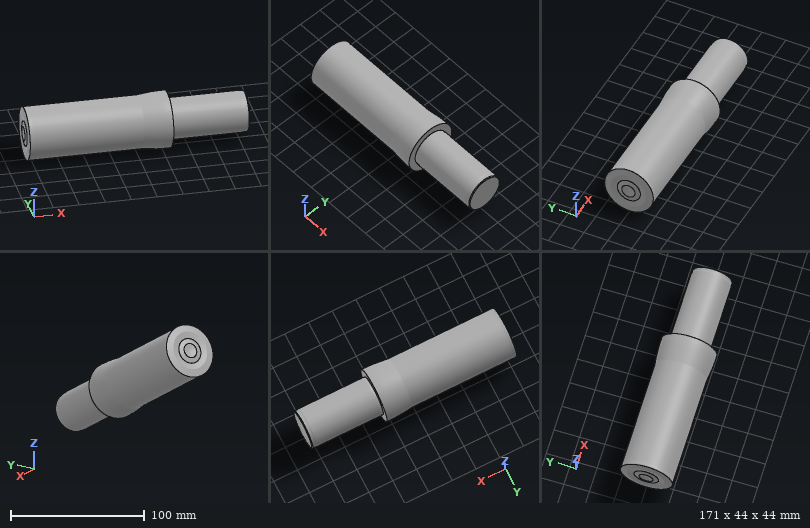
import cadquery as cq
import math

total_length = 171.0
flare_start = 89.1
collar_start = 106.2
sleeve_end = 111.0

sleeve_diameter = 41.0
collar_diameter = 44.0

rim_diameter = 41.0
rim_x = 0.9
lip_diameter = 41.4
lip_x = 1.7
lip_end = 3.8

outer_crest_diameter = 29.5
valley_diameter = 19.3
inner_crest_diameter = 11.1
ring_depth = 0.9

stem_diameter = 32.0
neck_diameter = 31.5
neck_length = 0.9
shoulder_length = 1.0
tip_length = 4.1
end_chamfer = 0.7


def revolve_about_x(profile):
    """Turn a half profile, drawn as (x, radius), into a solid of revolution."""
    return profile.close().revolve(360, (0, 0, 0), (1, 0, 0))


def make_sleeve():
    """Solid cylinder with a ringed front face and a flared collar at the rear."""
    flare_length = collar_start - flare_start
    flare_rise = (collar_diameter - sleeve_diameter) / 2
    flare_radius = (flare_length**2 + flare_rise**2) / (2 * flare_rise)
    flare_middle = flare_start + flare_length / 2
    middle_drop = flare_radius - math.sqrt(flare_radius**2 - (flare_length / 2) ** 2)
    flare_middle_radius = collar_diameter / 2 - middle_drop

    profile = (
        cq.Workplane("XY")
        .moveTo(ring_depth, 0)
        .lineTo(0, inner_crest_diameter / 2)
        .lineTo(ring_depth, valley_diameter / 2)
        .lineTo(0, outer_crest_diameter / 2)
        .lineTo(rim_x, rim_diameter / 2)
        .lineTo(lip_x, lip_diameter / 2)
        .lineTo(lip_end, sleeve_diameter / 2)
        .lineTo(flare_start, sleeve_diameter / 2)
        .threePointArc(
            (flare_middle, flare_middle_radius),
            (collar_start, collar_diameter / 2),
        )
        .lineTo(sleeve_end, collar_diameter / 2)
        .lineTo(sleeve_end, 0)
    )
    return revolve_about_x(profile)


def make_stem():
    """Plain stem with a narrow neck at the sleeve and a stepped, chamfered tip."""
    neck_end = sleeve_end + neck_length
    tip_start = total_length - tip_length
    profile = (
        cq.Workplane("XY")
        .moveTo(sleeve_end, 0)
        .lineTo(sleeve_end, neck_diameter / 2)
        .lineTo(neck_end, neck_diameter / 2)
        .lineTo(neck_end + shoulder_length, stem_diameter / 2)
        .lineTo(tip_start, stem_diameter / 2)
        .lineTo(tip_start + shoulder_length, neck_diameter / 2)
        .lineTo(total_length - end_chamfer, neck_diameter / 2)
        .lineTo(total_length, neck_diameter / 2 - end_chamfer)
        .lineTo(total_length, 0)
    )
    return revolve_about_x(profile)


sleeve = make_sleeve()
stem = make_stem()

result = cq.Compound.makeCompound([sleeve.val(), stem.val()])